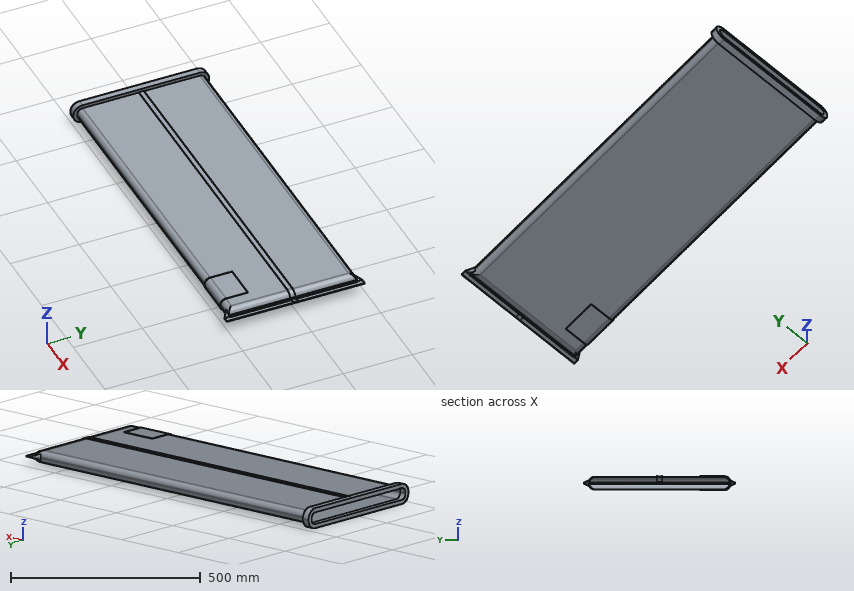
import cadquery as cq
import math

length = 1000.0
flat_half_width = 170.0
side_flat = 3.0
sleeve_height = 35.0
wall = 1.5

collar_length = 20.0
collar_height = 55.0
collar_side_flat = 1.0

round_start = 961.0
round_radius = 22.5
taper_start = 960.0
taper_height = 24.0
taper_inset = 0.5
lip_start = 985.0
lip_width = 400.0
lip_thickness = 3.0
lip_corner_radius = 1.0
taper_wall = 0.6

strip_width = 15.0
strip_thickness = 1.5

patch_start = 830.0
patch_length = 100.0
patch_inner_y = -107.0
patch_thickness = 1.5

sleeve_width = 2 * flat_half_width + sleeve_height - side_flat
taper_corner_radius = (taper_height - side_flat) / 2
taper_start_width = sleeve_width - 2 * taper_inset
round_center_z = sleeve_height / 2 - round_radius
taper_slope = (taper_height - lip_thickness) / 2 / (lip_start - taper_start)


def rounded_sketch(width, height, radius):
    return cq.Sketch().rect(width, height).vertices().fillet(radius)


def rounded_bar(start, end, width, height, radius):
    """Bar along X with a rounded-rectangle section."""
    sketch = rounded_sketch(width, height, radius)
    return cq.Workplane("YZ", origin=(start, 0, 0)).placeSketch(sketch).extrude(end - start)


def sleeve_bar(start, end, height, flat=side_flat):
    """Bar along X whose rounded sides begin where the flat top and bottom end."""
    radius = (height - flat) / 2
    width = 2 * (flat_half_width + radius)
    return rounded_bar(start, end, width, height, radius)


def strip_block(start, height):
    """Block of the strip's width that stands on the mid-plane and runs to the lip's edge."""
    return (
        cq.Workplane("XY", origin=(start, 0, 0))
        .box(length - start, strip_width, height, centered=(False, True, False))
    )


def round_end_profile(growth, half_width):
    """Upper half of the lengthwise outline, offset outward by growth and extruded along Y."""
    radius = round_radius + growth
    top = sleeve_height / 2 + growth
    sweep = math.acos(-round_center_z / radius)
    arc_middle = (
        round_start + radius * math.sin(sweep / 2),
        round_center_z + radius * math.cos(sweep / 2),
    )
    arc_end = (round_start + radius * math.sin(sweep), 0)
    return (
        cq.Workplane("XZ")
        .lineTo(0, top)
        .lineTo(round_start, top)
        .threePointArc(arc_middle, arc_end)
        .close()
        .extrude(half_width, both=True)
    )


def taper_wedge(growth, half_width):
    """Wedge with the slope of the taper, offset along Z by growth, closing to an edge."""
    start_z = taper_height / 2 + growth
    tip_x = taper_start + start_z / taper_slope
    return (
        cq.Workplane("XZ")
        .polyline([(taper_start, start_z), (tip_x, 0), (taper_start, -start_z)])
        .close()
        .extrude(half_width, both=True)
    )


def round_end_bar(growth):
    """Sleeve solid with its rounded end, offset outward by growth."""
    upper = round_end_profile(growth, lip_width / 2)
    envelope = upper.union(upper.mirror("XY"))
    return sleeve_bar(0, length, sleeve_height + 2 * growth).intersect(envelope)


def flared_taper():
    """Straight-sided transition from inside the sleeve to the lip section."""
    start_sketch = rounded_sketch(taper_start_width, taper_height, taper_corner_radius)
    lip_sketch = rounded_sketch(lip_width, lip_thickness, lip_corner_radius)
    run = lip_start - taper_start
    return (
        cq.Workplane("YZ", origin=(taper_start, 0, 0))
        .placeSketch(start_sketch, lip_sketch.moved(cq.Location(cq.Vector(0, 0, run))))
        .loft(ruled=True)
    )


def lip():
    return rounded_bar(lip_start, length, lip_width, lip_thickness, lip_corner_radius)


def cavity():
    inner_taper = sleeve_bar(0, length, sleeve_height - 2 * wall).intersect(
        taper_wedge(-taper_wall, lip_width / 2)
    )
    return round_end_bar(-wall).union(inner_taper)


def strip():
    """Strip that follows the top of the sleeve, the taper and the lip."""
    half_width = strip_width / 2
    over_sleeve = round_end_profile(strip_thickness, half_width)
    over_taper = taper_wedge(strip_thickness, half_width).intersect(
        strip_block(taper_start, taper_height)
    )
    over_lip = strip_block(lip_start, lip_thickness / 2 + strip_thickness)
    return over_sleeve.union(over_taper).union(over_lip)


def patch():
    wrap = sleeve_bar(patch_start, patch_start + patch_length, sleeve_height + 2 * patch_thickness)
    keep = (
        cq.Workplane("XY", origin=(patch_start, patch_inner_y - lip_width, 0))
        .box(patch_length, lip_width, collar_height, centered=(False, False, True))
    )
    return wrap.intersect(keep)


collar = sleeve_bar(0, collar_length, collar_height, collar_side_flat)

result = (
    round_end_bar(0)
    .union(flared_taper())
    .union(lip())
    .union(strip())
    .union(patch())
    .union(collar)
    .cut(cavity())
)